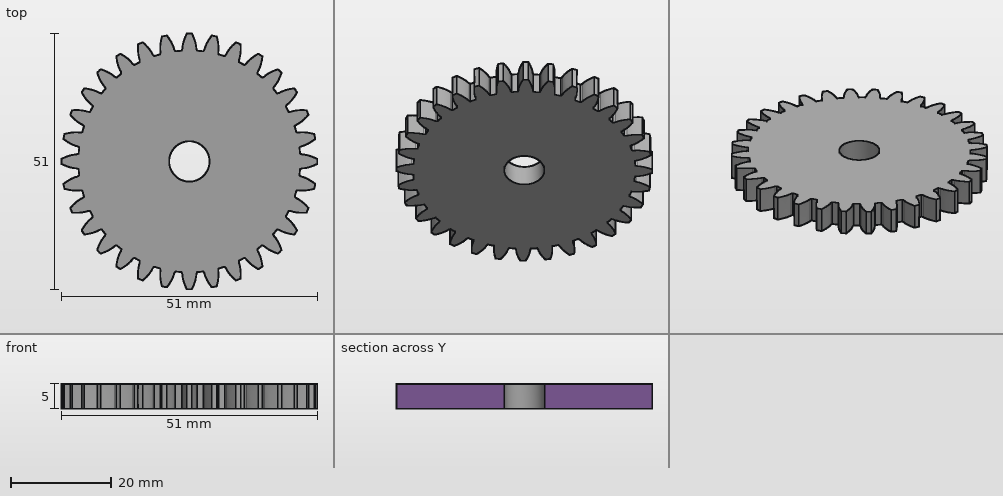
import cadquery as cq
import math

tooth_count = 32
outer_diameter = 51.0
root_diameter = 44.25
thickness = 5.0
bore_diameter = 8.0
pressure_angle = math.radians(20)
backlash = 0.075
root_tooth_thickness = 3.1
flank_steps = 6

module = outer_diameter / (tooth_count + 2)
outer_radius = outer_diameter / 2
root_radius = root_diameter / 2
pitch_radius = module * tooth_count / 2
base_radius = pitch_radius * math.cos(pressure_angle)
tooth_pitch = 2 * math.pi / tooth_count
pitch_half_angle = tooth_pitch / 4 - backlash / (2 * pitch_radius)
root_half_angle = root_tooth_thickness / (2 * root_radius)


def involute(angle):
    return math.tan(angle) - angle


def polar(radius, angle):
    return (radius * math.cos(angle), radius * math.sin(angle))


def half_tooth_angle(radius):
    """Angle from the tooth centreline to its involute flank at a radius."""
    flank_angle = math.acos(base_radius / radius)
    return pitch_half_angle + involute(pressure_angle) - involute(flank_angle)


def flank_points(centre_angle, side):
    """Points on one flank, from the base circle to the tip; side is -1 or +1."""
    points = []
    for step in range(flank_steps + 1):
        radius = base_radius + (outer_radius - base_radius) * (step / flank_steps) ** 2
        points.append(polar(radius, centre_angle + side * half_tooth_angle(radius)))
    return points


def add_tooth(outline, centre_angle):
    """Draw one tooth and the root arc that leads to the next tooth."""
    rising_flank = flank_points(centre_angle, -1)
    falling_flank = flank_points(centre_angle, 1)[::-1]
    tip_middle = polar(outer_radius, centre_angle)
    root_end = polar(root_radius, centre_angle + root_half_angle)
    gap_middle = polar(root_radius, centre_angle + tooth_pitch / 2)
    next_root = polar(root_radius, centre_angle + tooth_pitch - root_half_angle)

    outline = outline.lineTo(*rising_flank[0])
    outline = outline.spline(rising_flank[1:], includeCurrent=True)
    outline = outline.threePointArc(tip_middle, falling_flank[0])
    outline = outline.spline(falling_flank[1:], includeCurrent=True)
    outline = outline.lineTo(*root_end)
    return outline.threePointArc(gap_middle, next_root)


def make_toothed_disc():
    """Solid disc standing on Z = 0, with one tooth centred on the +X axis."""
    outline = cq.Workplane("XY").moveTo(*polar(root_radius, -root_half_angle))
    for tooth in range(tooth_count):
        outline = add_tooth(outline, tooth * tooth_pitch)
    return outline.close().extrude(thickness)


def make_bore():
    return cq.Workplane("XY").circle(bore_diameter / 2).extrude(thickness)


result = make_toothed_disc().cut(make_bore())